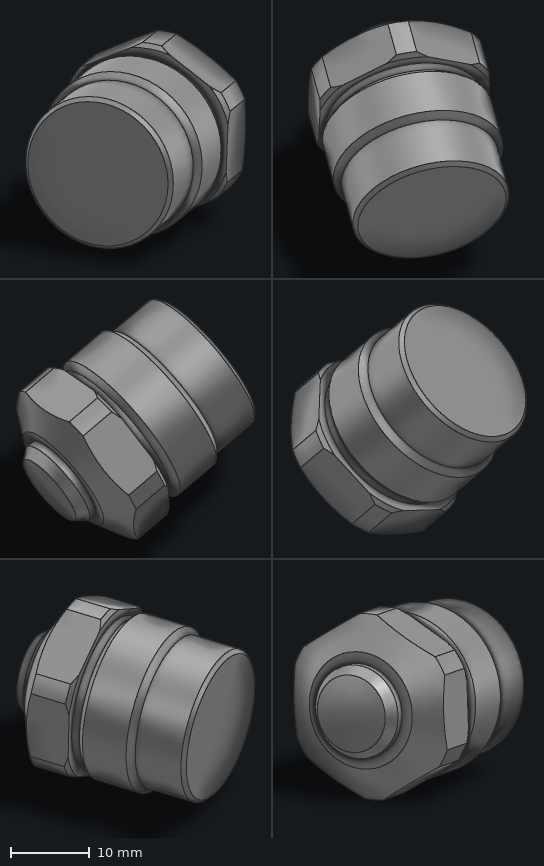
import cadquery as cq
import math

TOTAL_LENGTH = 27.0

SHANK_RADIUS = 10.15
END_CHAMFER = 0.5
COLLAR_RADIUS = 11.02
COLLAR_START = 7.0
COLLAR_END = 14.9
COLLAR_CHAMFER = COLLAR_RADIUS - SHANK_RADIUS
STEM_RADIUS = 6.05
STEM_BEVEL_START = 25.0
STEM_BEVEL_END = 26.4
STEM_TIP_RADIUS = 5.0

NUT_START = 16.0
NUT_END = 24.0
NUT_ACROSS_FLATS = 22.0
NUT_CORNER_RADIUS = 12.02
NUT_CHAMFER = 0.55
NUT_CONE_TIP_RADIUS = 7.55
NUT_CONE_ANGLE = 30.0
NUT_TURN = 2.2


def revolve_about_y(profile):
    """Turn a closed half profile, drawn as (radius, Y), about the Y axis."""
    return profile.close().revolve(360, (0, 0, 0), (0, 1, 0))


def make_plug():
    """Solid plug with a raised collar and a domed stem that passes through the nut."""
    dome_height = TOTAL_LENGTH - STEM_BEVEL_END
    dome_radius = (STEM_TIP_RADIUS**2 + dome_height**2) / (2 * dome_height)
    half_tip = STEM_TIP_RADIUS / 2
    dome_center = TOTAL_LENGTH - dome_radius
    dome_middle = (half_tip, dome_center + math.sqrt(dome_radius**2 - half_tip**2))

    profile = (
        cq.Workplane("XY")
        .moveTo(0, 0)
        .lineTo(SHANK_RADIUS - END_CHAMFER, 0)
        .lineTo(SHANK_RADIUS, END_CHAMFER)
        .lineTo(SHANK_RADIUS, COLLAR_START)
        .lineTo(COLLAR_RADIUS, COLLAR_START + COLLAR_CHAMFER)
        .lineTo(COLLAR_RADIUS, COLLAR_END - COLLAR_CHAMFER)
        .lineTo(SHANK_RADIUS, COLLAR_END)
        .lineTo(SHANK_RADIUS, NUT_START)
        .lineTo(STEM_RADIUS, NUT_START)
        .lineTo(STEM_RADIUS, STEM_BEVEL_START)
        .lineTo(STEM_TIP_RADIUS, STEM_BEVEL_END)
        .threePointArc(dome_middle, (0, TOTAL_LENGTH))
    )
    return revolve_about_y(profile)


def make_nut():
    """Hexagon nut with rounded corners, a conical end and a bore for the stem."""
    cone_rise = NUT_CORNER_RADIUS - NUT_CONE_TIP_RADIUS
    cone_start = NUT_END - cone_rise * math.tan(math.radians(NUT_CONE_ANGLE))
    profile = (
        cq.Workplane("XY")
        .moveTo(STEM_RADIUS, NUT_START)
        .lineTo(NUT_CORNER_RADIUS - NUT_CHAMFER, NUT_START)
        .lineTo(NUT_CORNER_RADIUS, NUT_START + NUT_CHAMFER)
        .lineTo(NUT_CORNER_RADIUS, cone_start)
        .lineTo(NUT_CONE_TIP_RADIUS, NUT_END)
        .lineTo(STEM_RADIUS, NUT_END)
    )
    turned_blank = revolve_about_y(profile)

    across_corners = NUT_ACROSS_FLATS / math.cos(math.radians(30))
    hexagon = (
        cq.Workplane("XZ", origin=(0, NUT_START, 0))
        .transformed(rotate=(0, 0, 90 - NUT_TURN))
        .polygon(6, across_corners)
        .extrude(NUT_START - NUT_END)
    )
    return turned_blank.intersect(hexagon)


plug = make_plug()
nut = make_nut()

result = cq.Compound.makeCompound([plug.val(), *nut.solids().vals()])